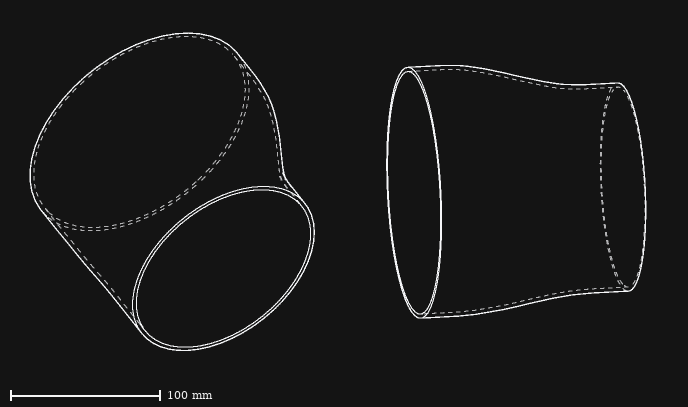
import cadquery as cq

length = 140.0
large_diameter = 168.3
small_diameter = 139.7
wall = 2.9
collar_length = 25.0
section_count = 9

transition_length = length - 2 * collar_length
small_end_shift = -(large_diameter - small_diameter) / 2


def blend(t):
    """S-curve from 0 to 1 that is level at both ends."""
    return t * t * (3 - 2 * t)


def disc_plane(x, y):
    return cq.Plane(origin=(x, y, 0), xDir=(0, 1, 0), normal=(1, 0, 0))


def collar(x, y, diameter):
    return cq.Workplane(disc_plane(x, y)).circle(diameter / 2).extrude(collar_length)


def transition(large, small):
    """Loft through circles whose size and offset follow the same S-curve."""
    wires = []
    for i in range(section_count):
        t = i / (section_count - 1)
        radius = (large + (small - large) * blend(t)) / 2
        center = cq.Vector(collar_length + t * transition_length, small_end_shift * blend(t), 0)
        wires.append(cq.Wire.makeCircle(radius, center, cq.Vector(1, 0, 0)))
    return cq.Workplane(cq.Solid.makeLoft(wires))


def reducer_body(inset):
    """Solid reducer with its surface set in by the given amount."""
    large = large_diameter - 2 * inset
    small = small_diameter - 2 * inset
    large_collar = collar(0, 0, large)
    small_collar = collar(length - collar_length, small_end_shift, small)
    return large_collar.union(transition(large, small)).union(small_collar)


result = reducer_body(0).cut(reducer_body(wall))